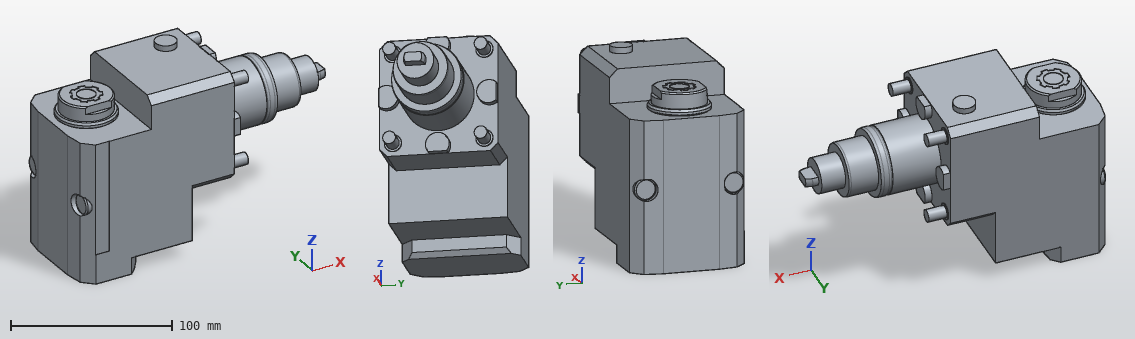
import cadquery as cq

WIDTH = 75.0
HALF_WIDTH = WIDTH / 2
HOUSING_LENGTH = 108.9
HOUSING_TOP = 120.6
SHELF_HEIGHT = 98.6
SHELF_LENGTH = 49.0
HEAD_BOTTOM = 45.7
LEG_LENGTH = 78.5
LEG_BOTTOM = 11.5
TOP_CHAMFER = 5.2
BOTTOM_CHAMFER = 4.8

NOSE_FLAT_HALF = 18.3
NOSE_BEND_X = 2.0
NOSE_BEND_Y = 30.5
NOSE_DEPTH = 9.0

FOOT_LENGTH = 34.7
TAB_LENGTH = 42.5
TAB_CHAMFER_X = 2.7
TAB_CHAMFER_Z = 3.5

RELIEF_LENGTH = 9.6
RELIEF_BOTTOM = 20.8
RELIEF_DEPTH = 0.2

AXIS_Z = 83.0
SHANK_RADIUS = 22.4
SHANK_END = 149.0
GROOVE_START = 141.3
GROOVE_WIDTH = 0.8
GROOVE_DEPTH = 0.4
BAND_START = 143.5
BAND_END = 147.0
COLLAR_RADIUS = 17.5
COLLAR_END = 168.7
COLLAR_CHAMFER_LENGTH = 1.4
COLLAR_CHAMFER_DEPTH = 0.4
SPINDLE_RADIUS = 11.5
SPINDLE_END = 184.7
TANG_RADIUS = 6.8
TANG_TIP_RADIUS = 5.6
TANG_THICKNESS = 6.0
TANG_TAPER_START = 188.8
TANG_END = 193.0

PIN_RADIUS = 4.0
PIN_OFFSET = 29.0
PIN_LENGTH = 12.7
PIN_COLLAR_RADIUS = 5.5
PIN_COLLAR_LENGTH = 0.5
KEY_RADIUS = 7.5
KEY_OFFSET = 32.5
KEY_FLAT = 37.0
KEY_LENGTH = 4.6

SCREW_RADIUS = 7.1
SCREW_OFFSET = 28.8
SCREW_Z = 54.0
SCREW_FACE_X = 3.5
SCREW_CHAMFER = 1.0
SCREW_END_X = 19.3

CAP_X = 24.1
CAP_NECK_RADIUS = 18.7
CAP_NECK_HEIGHT = 1.0
FLANGE_RADIUS = 20.0
FLANGE_HEIGHT = 3.3
FLANGE_CHAMFER_DEPTH = 1.0
FLANGE_CHAMFER_HEIGHT = 1.5
CAP_RADIUS = 17.5
CAP_TOP = 113.1
CAP_CHAMFER = 1.0
CAP_FLAT_HALF = 14.9
CAP_FLAT_HEIGHT = 5.2

SOCKET_RADIUS = 8.9
SOCKET_LOBES = 7
LOBE_WIDTH = 4.2
LOBE_TIP = 10.2
SOCKET_DEPTH = 0.4
POST_RADIUS = 6.2

BUTTON_X = 90.9
BUTTON_Y = 16.5
BUTTON_RADIUS = 7.1
BUTTON_TOP = 124.5


def x_cylinder(radius, x_start, x_end, y, z):
    return cq.Workplane("YZ", origin=(x_start, y, z)).circle(radius).extrude(x_end - x_start)


def revolve_about_x(points):
    return cq.Workplane("XY").polyline(points).close().revolve(360, (0, 0, 0), (1, 0, 0))


def extrude_side(points, half_width):
    """Extrude an XZ outline symmetrically about the Y = 0 plane."""
    return cq.Workplane("XZ").polyline(points).close().extrude(half_width, both=True)


def make_housing():
    side = extrude_side(
        [
            (0, 0),
            (FOOT_LENGTH, 0),
            (FOOT_LENGTH, LEG_BOTTOM),
            (LEG_LENGTH, LEG_BOTTOM),
            (LEG_LENGTH, HEAD_BOTTOM),
            (HOUSING_LENGTH, HEAD_BOTTOM),
            (HOUSING_LENGTH, HOUSING_TOP),
            (SHELF_LENGTH, HOUSING_TOP),
            (SHELF_LENGTH, SHELF_HEIGHT),
            (0, SHELF_HEIGHT),
        ],
        HALF_WIDTH,
    )
    side = side.faces(">Z").edges("|X").chamfer(TOP_CHAMFER)
    head_underside = cq.selectors.NearestToPointSelector(((LEG_LENGTH + HOUSING_LENGTH) / 2, 0, HEAD_BOTTOM))
    side = side.faces(head_underside).edges("|X").chamfer(BOTTOM_CHAMFER)

    plan = (
        cq.Workplane("XY")
        .polyline(
            [
                (0, -NOSE_FLAT_HALF),
                (NOSE_BEND_X, -NOSE_BEND_Y),
                (NOSE_DEPTH, -HALF_WIDTH),
                (HOUSING_LENGTH, -HALF_WIDTH),
                (HOUSING_LENGTH, HALF_WIDTH),
                (NOSE_DEPTH, HALF_WIDTH),
                (NOSE_BEND_X, NOSE_BEND_Y),
                (0, NOSE_FLAT_HALF),
            ]
        )
        .close()
        .extrude(HOUSING_TOP)
    )
    relief = cq.Workplane("XY").box(
        NOSE_DEPTH + RELIEF_LENGTH, RELIEF_DEPTH, SHELF_HEIGHT - RELIEF_BOTTOM, centered=False
    )
    relief = relief.translate((0, -HALF_WIDTH, RELIEF_BOTTOM))
    return side.intersect(plan).cut(relief)


def make_tab():
    tab_start = FOOT_LENGTH / 2
    corner_y = HALF_WIDTH - (TAB_LENGTH - FOOT_LENGTH)
    side = extrude_side(
        [
            (tab_start, 0),
            (TAB_LENGTH - TAB_CHAMFER_X, 0),
            (TAB_LENGTH, TAB_CHAMFER_Z),
            (TAB_LENGTH, LEG_BOTTOM),
            (tab_start, LEG_BOTTOM),
        ],
        HALF_WIDTH,
    )
    plan = (
        cq.Workplane("XY")
        .polyline(
            [
                (tab_start, -HALF_WIDTH),
                (FOOT_LENGTH, -HALF_WIDTH),
                (TAB_LENGTH, -corner_y),
                (TAB_LENGTH, corner_y),
                (FOOT_LENGTH, HALF_WIDTH),
                (tab_start, HALF_WIDTH),
            ]
        )
        .close()
        .extrude(LEG_BOTTOM)
    )
    return side.intersect(plan)


def make_shank():
    groove_radius = SHANK_RADIUS - GROOVE_DEPTH
    profile = [
        (HOUSING_LENGTH, 0),
        (HOUSING_LENGTH, SHANK_RADIUS),
        (GROOVE_START, SHANK_RADIUS),
        (GROOVE_START, groove_radius),
        (GROOVE_START + GROOVE_WIDTH, groove_radius),
        (BAND_START, SHANK_RADIUS),
        (BAND_END, SHANK_RADIUS),
        (SHANK_END, groove_radius),
        (SHANK_END, COLLAR_RADIUS),
        (COLLAR_END - COLLAR_CHAMFER_LENGTH, COLLAR_RADIUS),
        (COLLAR_END, COLLAR_RADIUS - COLLAR_CHAMFER_DEPTH),
        (COLLAR_END, SPINDLE_RADIUS),
        (SPINDLE_END, SPINDLE_RADIUS),
        (SPINDLE_END, 0),
    ]
    shank = revolve_about_x(profile)
    tang_profile = [
        (SPINDLE_END, 0),
        (SPINDLE_END, TANG_RADIUS),
        (TANG_TAPER_START, TANG_RADIUS),
        (TANG_END, TANG_TIP_RADIUS),
        (TANG_END, 0),
    ]
    tang = revolve_about_x(tang_profile)
    tang_flats = cq.Workplane("XY").box(2 * TANG_END, 2 * TANG_RADIUS, TANG_THICKNESS)
    tang = tang.intersect(tang_flats)
    return shank.union(tang).translate((0, 0, AXIS_Z))


def make_pin(y, z):
    pin = x_cylinder(PIN_RADIUS, HOUSING_LENGTH, HOUSING_LENGTH + PIN_LENGTH, y, z)
    collar = x_cylinder(PIN_COLLAR_RADIUS, HOUSING_LENGTH, HOUSING_LENGTH + PIN_COLLAR_LENGTH, y, z)
    return pin.union(collar)


def make_key(angle):
    key = x_cylinder(KEY_RADIUS, HOUSING_LENGTH, HOUSING_LENGTH + KEY_LENGTH, 0, KEY_OFFSET)
    below_flat = cq.Workplane("XY").box(
        HOUSING_LENGTH + KEY_LENGTH, 2 * KEY_RADIUS, KEY_FLAT, centered=(False, True, False)
    )
    key = key.intersect(below_flat)
    return key.rotate((0, 0, 0), (1, 0, 0), angle).translate((0, 0, AXIS_Z))


def make_cap():
    flange_bottom = SHELF_HEIGHT + CAP_NECK_HEIGHT
    flange_top = flange_bottom + FLANGE_HEIGHT
    profile = [
        (0, SHELF_HEIGHT),
        (CAP_NECK_RADIUS, SHELF_HEIGHT),
        (CAP_NECK_RADIUS, flange_bottom),
        (FLANGE_RADIUS, flange_bottom),
        (FLANGE_RADIUS, flange_top - FLANGE_CHAMFER_HEIGHT),
        (FLANGE_RADIUS - FLANGE_CHAMFER_DEPTH, flange_top),
        (CAP_RADIUS, flange_top),
        (CAP_RADIUS, CAP_TOP - CAP_CHAMFER),
        (CAP_RADIUS - CAP_CHAMFER, CAP_TOP),
        (0, CAP_TOP),
    ]
    cap = cq.Workplane("XZ").polyline(profile).close().revolve(360, (0, 0, 0), (0, 1, 0))

    flat_depth = CAP_RADIUS - CAP_FLAT_HALF
    flat_cutter = cq.Workplane("XY").box(
        2 * CAP_RADIUS, flat_depth, CAP_FLAT_HEIGHT, centered=(True, False, False)
    )
    for y in (CAP_FLAT_HALF, -CAP_RADIUS):
        cap = cap.cut(flat_cutter.translate((0, y, CAP_TOP - CAP_FLAT_HEIGHT)))
    return cap.cut(make_socket()).translate((CAP_X, 0, 0))


def make_socket():
    floor = cq.Workplane("XY", origin=(0, 0, CAP_TOP - SOCKET_DEPTH))
    socket = floor.circle(SOCKET_RADIUS).extrude(SOCKET_DEPTH)
    lobe = floor.center(LOBE_TIP / 2, 0).rect(LOBE_TIP, LOBE_WIDTH).extrude(SOCKET_DEPTH)
    for i in range(SOCKET_LOBES):
        socket = socket.union(lobe.rotate((0, 0, 0), (0, 0, 1), 180 + i * 360 / SOCKET_LOBES))
    return socket.cut(floor.circle(POST_RADIUS).extrude(SOCKET_DEPTH))


result = make_housing().union(make_tab()).union(make_shank()).union(make_cap())

for y in (-PIN_OFFSET, PIN_OFFSET):
    for z in (AXIS_Z - PIN_OFFSET, AXIS_Z + PIN_OFFSET):
        result = result.union(make_pin(y, z))

for angle in (0, 90, 180, 270):
    result = result.union(make_key(angle))

for y in (-SCREW_OFFSET, SCREW_OFFSET):
    pocket = x_cylinder(SCREW_RADIUS, 0, SCREW_END_X, y, SCREW_Z)
    screw = x_cylinder(SCREW_RADIUS, SCREW_FACE_X, SCREW_END_X, y, SCREW_Z)
    screw = screw.faces("<X").chamfer(SCREW_CHAMFER)
    result = result.cut(pocket).union(screw)

button = (
    cq.Workplane("XY", origin=(BUTTON_X, BUTTON_Y, HOUSING_TOP))
    .circle(BUTTON_RADIUS)
    .extrude(BUTTON_TOP - HOUSING_TOP)
)
result = result.union(button)